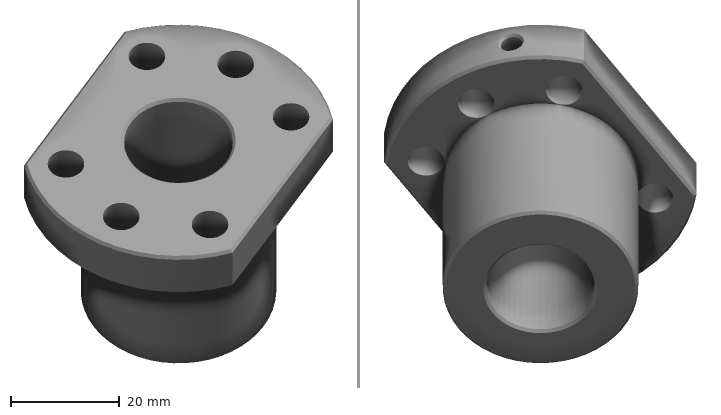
import cadquery as cq
import math

flange_diameter = 58.0
flange_width = 44.0
flange_thickness = 10.0
total_height = 42.0
body_diameter = 36.0
bore_diameter = 20.0
edge_chamfer = 0.5

mount_hole_diameter = 6.7
mount_circle_diameter = 43.05
mount_hole_angles = (45, 90, 135, 225, 270, 315)

port_angle = (90 + 135) / 2
port_diameter = 4.0
port_mouth_diameter = 5.0
port_depth = 10.0
port_mouth_depth = (port_mouth_diameter - port_diameter) / 2

flange_radius = flange_diameter / 2
flange_bottom = total_height - flange_thickness


def make_flange():
    """Round flange cut to two flats facing -X and +X, chamfered top and bottom."""
    disc = cq.Workplane("XY").workplane(offset=flange_bottom).circle(flange_radius).extrude(flange_thickness)
    flats = cq.Workplane("XY").box(flange_width, flange_diameter, total_height, centered=(True, True, False))
    return disc.intersect(flats).faces("<Z or >Z").chamfer(edge_chamfer)


def make_body():
    """Cylinder below the flange, chamfered at its lower end."""
    body = cq.Workplane("XY").circle(body_diameter / 2).extrude(total_height - flange_thickness / 2)
    return body.faces("<Z").chamfer(edge_chamfer)


def make_bore():
    """Through bore, widened by a chamfer at both ends."""
    bore = cq.Workplane("XY").circle(bore_diameter / 2).extrude(total_height)
    mouth_radius = bore_diameter / 2 + edge_chamfer
    for end_height, inward in ((0, 1), (total_height, -1)):
        mouth = cq.Solid.makeCone(
            mouth_radius,
            bore_diameter / 2,
            edge_chamfer,
            pnt=cq.Vector(0, 0, end_height),
            dir=cq.Vector(0, 0, inward),
        )
        bore = bore.union(cq.Workplane(mouth))
    return bore


def make_mount_holes():
    """Cylinders for the six mounting holes."""
    centers = [
        (
            mount_circle_diameter / 2 * math.cos(math.radians(angle)),
            mount_circle_diameter / 2 * math.sin(math.radians(angle)),
        )
        for angle in mount_hole_angles
    ]
    return cq.Workplane("XY").pushPoints(centers).circle(mount_hole_diameter / 2).extrude(total_height)


def make_oil_port():
    """Radial hole drilled blind from the rim, with a countersunk mouth."""
    outward = cq.Vector(math.cos(math.radians(port_angle)), math.sin(math.radians(port_angle)), 0)
    rim_point = cq.Vector(0, 0, total_height - flange_thickness / 2) + outward * flange_radius
    hole = cq.Solid.makeCylinder(
        port_diameter / 2,
        port_depth,
        pnt=rim_point,
        dir=outward * -1,
    )
    mouth = cq.Solid.makeCone(
        port_mouth_diameter / 2,
        port_diameter / 2,
        port_mouth_depth,
        pnt=rim_point,
        dir=outward * -1,
    )
    return cq.Workplane(hole).union(cq.Workplane(mouth))


result = (
    make_flange()
    .union(make_body())
    .cut(make_bore())
    .cut(make_mount_holes())
    .cut(make_oil_port())
)